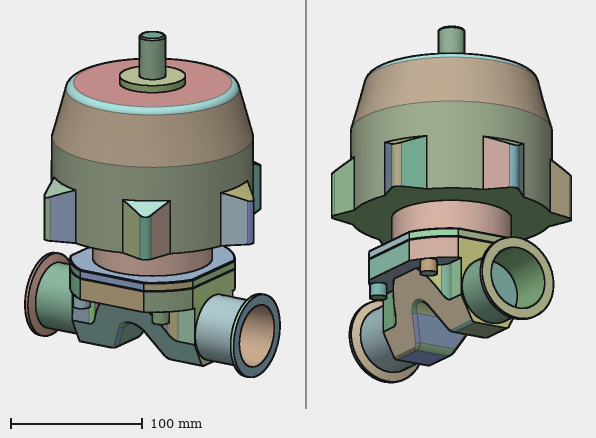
import cadquery as cq
import math


FLANGE_BOTTOM_Z = 54.0
DIAPHRAGM_BOTTOM_Z = 70.4
DIAPHRAGM_THICKNESS = 0.8
BONNET_TOP_Z = 77.5
HOUSING_BOTTOM_Z = 104.8
CONE_BOTTOM_Z = 174.0
HOUSING_TOP_Z = 217.0
BOSS_TOP_Z = 222.5
SPINDLE_TOP_Z = 255.0
DIAPHRAGM_TOP_Z = DIAPHRAGM_BOTTOM_Z + DIAPHRAGM_THICKNESS

FLANGE_WIDTH = 111.5
FLANGE_CORNER_DIAMETER = 125.5
BONNET_CHAMFER = 0.8

NECK_DIAMETER = 91.0
HOUSING_DIAMETER = 153.0
CONE_TOP_DIAMETER = 129.5
CONE_EDGE_RADIUS = 6.0
BOSS_DIAMETER = 50.0
SPINDLE_DIAMETER = 20.0
SPINDLE_CHAMFER = 1.3

LUG_COUNT = 6
LUG_TIP_REACH = 91.0
LUG_TIP_RADIUS = 5.9
LUG_HALF_ANGLE = math.radians(43)
LUG_TIP_TOP_Z = 138.7
LUG_ROOT_TOP_Z = 147.0

PORT_SPAN = 190.0
PIPE_DIAMETER = 50.7
BORE_DIAMETER = 48.0
CLAMP_DIAMETER = 64.0
PIPE_AXIS_Z = CLAMP_DIAMETER / 2
CLAMP_RIM_THICKNESS = 2.8
CLAMP_TAPER_LENGTH = 2.5

BLOCK_WIDTH = 52.5
BLOCK_BOTTOM_Z = 4.8
BLOCK_SHOULDER_Z = 25.0
BLOCK_FACE_TILT = math.radians(62.5)
HUB_DIAMETER = 88.5
HUB_BLEND_RADIUS = 10.5
ARCH_TOP_Z = 33.5
ARCH_TOP_RADIUS = 11.0
ARCH_FOOT_RADIUS = 8.2
ARCH_SLOPE = math.radians(60)
BLOCK_EDGE_RADIUS = 3.0
SELECT_MARGIN = 2.5

BOLT_HEAD_DIAMETER = 13.0
BOLT_HEAD_HEIGHT = 10.0
BOLT_SPACING_X = 72.0
BOLT_SPACING_Y = 86.0


def cylinder(diameter, bottom_z, top_z):
    """Upright cylinder on the valve axis."""
    return cq.Workplane("XY").workplane(offset=bottom_z).circle(diameter / 2).extrude(top_z - bottom_z)


def flange_plate(bottom_z, top_z):
    """Square plate whose corners follow a circle about the valve axis."""
    plate = (
        cq.Workplane("XY")
        .workplane(offset=bottom_z)
        .rect(FLANGE_WIDTH, FLANGE_WIDTH)
        .extrude(top_z - bottom_z)
    )
    return plate.intersect(cylinder(FLANGE_CORNER_DIAMETER, bottom_z, top_z))


def housing_shell():
    """Cylinder with a tapered upper part and a rounded top edge."""
    outline = (
        cq.Workplane("XZ")
        .moveTo(0, HOUSING_BOTTOM_Z)
        .lineTo(HOUSING_DIAMETER / 2, HOUSING_BOTTOM_Z)
        .lineTo(HOUSING_DIAMETER / 2, CONE_BOTTOM_Z)
        .lineTo(CONE_TOP_DIAMETER / 2, HOUSING_TOP_Z)
        .lineTo(0, HOUSING_TOP_Z)
        .close()
    )
    shell = outline.revolve(360, (0, 0, 0), (0, 1, 0))
    return shell.faces(">Z").edges().fillet(CONE_EDGE_RADIUS)


def lug():
    """Wedge pointing along +X, with a rounded tip and a conical top falling outward."""
    apex_x = LUG_TIP_REACH + LUG_TIP_RADIUS * (1 / math.sin(LUG_HALF_ANGLE) - 1)
    root_x = NECK_DIAMETER / 2
    root_half_width = (apex_x - root_x) * math.tan(LUG_HALF_ANGLE)
    wedge = (
        cq.Workplane("XY")
        .workplane(offset=HOUSING_BOTTOM_Z)
        .polyline([(apex_x, 0), (root_x, root_half_width), (root_x, -root_half_width)])
        .close()
        .extrude(LUG_ROOT_TOP_Z - HOUSING_BOTTOM_Z)
        .edges("|Z and >X")
        .fillet(LUG_TIP_RADIUS)
    )
    turned_limit = (
        cq.Workplane("XZ")
        .polyline([
            (0, HOUSING_BOTTOM_Z),
            (LUG_TIP_REACH, HOUSING_BOTTOM_Z),
            (LUG_TIP_REACH, LUG_TIP_TOP_Z),
            (HOUSING_DIAMETER / 2, LUG_ROOT_TOP_Z),
            (0, LUG_ROOT_TOP_Z),
        ])
        .close()
        .revolve(360, (0, 0, 0), (0, 1, 0))
    )
    return wedge.intersect(turned_limit)


def make_actuator():
    """Bonnet, neck, housing, boss, spindle and ring of lugs in one piece."""
    bonnet = flange_plate(DIAPHRAGM_TOP_Z, BONNET_TOP_Z).faces(">Z").edges().chamfer(BONNET_CHAMFER)
    spindle = (
        cylinder(SPINDLE_DIAMETER, BOSS_TOP_Z, SPINDLE_TOP_Z)
        .faces(">Z")
        .chamfer(SPINDLE_CHAMFER)
    )
    actuator = (
        bonnet
        .union(cylinder(NECK_DIAMETER, BONNET_TOP_Z, HOUSING_BOTTOM_Z))
        .union(housing_shell())
        .union(cylinder(BOSS_DIAMETER, HOUSING_TOP_Z, BOSS_TOP_Z))
        .union(spindle)
    )
    for index in range(LUG_COUNT):
        angle = index * 360 / LUG_COUNT
        actuator = actuator.union(lug().rotate((0, 0, 0), (0, 0, 1), angle))
    return actuator


def make_diaphragm():
    """Thin plate with the flange outline."""
    return flange_plate(DIAPHRAGM_BOTTOM_Z, DIAPHRAGM_TOP_Z)


def block_plan():
    """Bar along X with a round hub in the middle, blended by concave fillets."""
    height = FLANGE_BOTTOM_Z - BLOCK_BOTTOM_Z
    bar = (
        cq.Workplane("XY")
        .workplane(offset=BLOCK_BOTTOM_Z)
        .rect(FLANGE_WIDTH, BLOCK_WIDTH)
        .extrude(height)
    )
    hub = cylinder(HUB_DIAMETER, BLOCK_BOTTOM_Z, FLANGE_BOTTOM_Z)
    junction_x = math.sqrt((HUB_DIAMETER / 2) ** 2 - (BLOCK_WIDTH / 2) ** 2)
    junctions = cq.selectors.BoxSelector(
        (-junction_x - SELECT_MARGIN, -BLOCK_WIDTH / 2 - SELECT_MARGIN, BLOCK_BOTTOM_Z),
        (junction_x + SELECT_MARGIN, BLOCK_WIDTH / 2 + SELECT_MARGIN, FLANGE_BOTTOM_Z),
    )
    return bar.union(hub).edges("|Z").edges(junctions).fillet(HUB_BLEND_RADIUS)


def block_section():
    """Prism along X whose lower side faces slope in to a narrow flat bottom."""
    shoulder_half_width = BLOCK_WIDTH / 2
    bottom_half_width = shoulder_half_width - (BLOCK_SHOULDER_Z - BLOCK_BOTTOM_Z) / math.tan(BLOCK_FACE_TILT)
    top_half_width = shoulder_half_width + (FLANGE_BOTTOM_Z - BLOCK_SHOULDER_Z) / math.tan(BLOCK_FACE_TILT)
    return (
        cq.Workplane("YZ")
        .polyline([
            (-bottom_half_width, BLOCK_BOTTOM_Z),
            (bottom_half_width, BLOCK_BOTTOM_Z),
            (top_half_width, FLANGE_BOTTOM_Z),
            (-top_half_width, FLANGE_BOTTOM_Z),
        ])
        .close()
        .extrude(FLANGE_WIDTH / 2, both=True)
    )


def arch_cutter():
    """Wedge across Y that hollows the underside below the weir, with a round crown."""
    crown_peak_z = ARCH_TOP_Z + ARCH_TOP_RADIUS * (1 / math.cos(ARCH_SLOPE) - 1)
    foot_x = (crown_peak_z - BLOCK_BOTTOM_Z) / math.tan(ARCH_SLOPE)
    return (
        cq.Workplane("XZ")
        .polyline([(-foot_x, BLOCK_BOTTOM_Z), (0, crown_peak_z), (foot_x, BLOCK_BOTTOM_Z)])
        .close()
        .extrude(HUB_DIAMETER / 2, both=True)
        .edges("|Y and >Z")
        .fillet(ARCH_TOP_RADIUS)
    )


def weir_block():
    """Hub and bar with sloping sides and an arched underside, its lower edges rounded."""
    block = block_plan().intersect(block_section()).cut(arch_cutter())
    arch_feet = cq.selectors.BoxSelector(
        (-HUB_DIAMETER / 2, -HUB_DIAMETER / 2, BLOCK_BOTTOM_Z - SELECT_MARGIN),
        (HUB_DIAMETER / 2, HUB_DIAMETER / 2, BLOCK_BOTTOM_Z + SELECT_MARGIN),
    )
    block = block.edges("|Y").edges(arch_feet).fillet(ARCH_FOOT_RADIUS)
    return block.faces("<Z").edges("|X").fillet(BLOCK_EDGE_RADIUS)


def port():
    """Open tube along +X from the block to its clamp ferrule, turned about the pipe axis."""
    inner_x = FLANGE_WIDTH / 2
    outer_x = PORT_SPAN / 2
    rim_x = outer_x - CLAMP_RIM_THICKNESS
    taper_x = rim_x - CLAMP_TAPER_LENGTH
    wall = (
        cq.Workplane("XY")
        .polyline([
            (inner_x, BORE_DIAMETER / 2),
            (inner_x, PIPE_DIAMETER / 2),
            (taper_x, PIPE_DIAMETER / 2),
            (rim_x, CLAMP_DIAMETER / 2),
            (outer_x, CLAMP_DIAMETER / 2),
            (outer_x, BORE_DIAMETER / 2),
        ])
        .close()
    )
    return wall.revolve(360, (0, 0, 0), (1, 0, 0)).translate((0, 0, PIPE_AXIS_Z))


def bolt_heads():
    """Four round heads hanging under the flange corners."""
    return (
        cq.Workplane("XY")
        .workplane(offset=FLANGE_BOTTOM_Z)
        .rect(BOLT_SPACING_X, BOLT_SPACING_Y, forConstruction=True)
        .vertices()
        .circle(BOLT_HEAD_DIAMETER / 2)
        .extrude(-BOLT_HEAD_HEIGHT)
    )


def make_valve_body():
    """Flange, weir block, bolt heads and the two opposite ports in one piece."""
    body = flange_plate(FLANGE_BOTTOM_Z, DIAPHRAGM_BOTTOM_Z).union(weir_block()).union(bolt_heads())
    return body.union(port()).union(port().mirror("YZ"))


valve_body = make_valve_body()
diaphragm = make_diaphragm()
actuator = make_actuator()

result = cq.Compound.makeCompound([valve_body.val(), diaphragm.val(), actuator.val()])